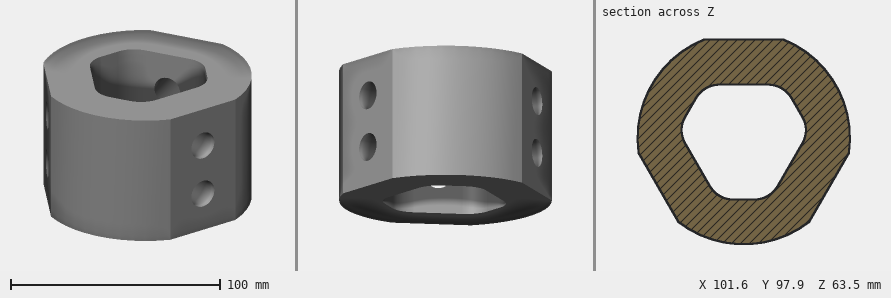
import cadquery as cq
import math

outer_diameter = 101.6
height = 63.5
flat_width = 38.1
bolt_hole_diameter = 13.49
bolt_hole_pitch = 25.4
bore_long_distance = 25.4
bore_short_distance = 29.2
bore_corner_radius = 12.7

outer_radius = outer_diameter / 2
flat_distance = math.sqrt(outer_radius**2 - (flat_width / 2) ** 2)
flat_angles = [90, 210, 330]


def make_body():
    """Round collar with a flat cut at each flat angle."""
    body = cq.Workplane("XY").circle(outer_radius).extrude(height)
    for angle in flat_angles:
        cutter = (
            cq.Workplane("XY")
            .box(outer_radius, outer_diameter, height, centered=(False, True, False))
            .translate((flat_distance, 0, 0))
            .rotate((0, 0, 0), (0, 0, 1), angle)
        )
        body = body.cut(cutter)
    return body


def bore_corners():
    """Corners of the six-sided bore, where each long wall meets its two short neighbours."""
    turn = math.radians(60)
    half_length = (bore_short_distance - bore_long_distance * math.cos(turn)) / math.sin(turn)
    corners = []
    for angle in flat_angles:
        normal = math.radians(angle)
        for side in (-half_length, half_length):
            x = bore_long_distance * math.cos(normal) - side * math.sin(normal)
            y = bore_long_distance * math.sin(normal) + side * math.cos(normal)
            corners.append((x, y))
    return corners


def make_bore():
    """Through bore with rounded vertical corners."""
    prism = cq.Workplane("XY").polyline(bore_corners()).close().extrude(height)
    return prism.edges("|Z").fillet(bore_corner_radius)


def make_bolt_hole(angle, z):
    """Radial hole from the axis out through the wall at the given angle."""
    return (
        cq.Workplane("YZ")
        .circle(bolt_hole_diameter / 2)
        .extrude(outer_radius)
        .rotate((0, 0, 0), (0, 0, 1), angle)
        .translate((0, 0, z))
    )


result = make_body().cut(make_bore())
for flat_angle in flat_angles:
    for offset in (-bolt_hole_pitch / 2, bolt_hole_pitch / 2):
        result = result.cut(make_bolt_hole(flat_angle, height / 2 + offset))